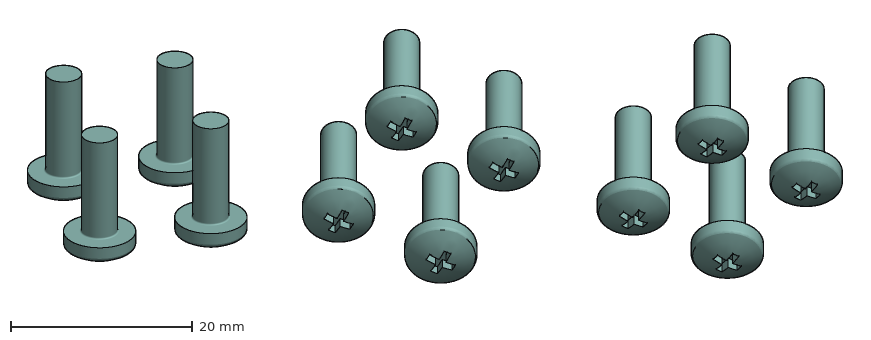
import cadquery as cq

head_diameter = 8.0
overall_length = 23.0
overall_width = 20.72
pitch_x = overall_length - head_diameter
pitch_y = overall_width - head_diameter

shank_diameter = 4.0
shank_length = 12.0
neck_fillet = 0.18

head_height = 2.95
rim_height = 1.6
rim_fillet = 0.41

recess_span = 3.22
recess_width = 0.83
recess_depth = 1.38

head_radius = head_diameter / 2
shank_radius = shank_diameter / 2
dome_rise = head_height - rim_height
dome_radius = (head_radius**2 + dome_rise**2) / (2 * dome_rise)


def circle_at(body, radius, z):
    """Edges of the body that are full circles about Z with the given radius and height."""
    return body.edges("%CIRCLE").filter(
        lambda edge: abs(edge.arcCenter().z - z) < 0.0002 and abs(edge.radius() - radius) < 0.0002
    )


def make_blank():
    """Shank and domed head revolved about Z, with the head's flat face at Z = 0."""
    blank = (
        cq.Workplane("XZ")
        .moveTo(0, shank_length)
        .lineTo(-shank_radius, shank_length)
        .lineTo(-shank_radius, 0)
        .lineTo(-head_radius, 0)
        .lineTo(-head_radius, -rim_height)
        .radiusArc((0, -head_height), -dome_radius)
        .close()
        .revolve(360, (0, 0), (0, 1))
    )
    blank = circle_at(blank, head_radius, -rim_height).fillet(rim_fillet)
    return circle_at(blank, shank_radius, 0).fillet(neck_fillet)


def make_recess():
    """Two crossed bars, reaching up from the tip of the dome."""
    bar = cq.Workplane("XY", origin=(0, 0, -head_height)).box(
        recess_span, recess_width, recess_depth, centered=(True, True, False)
    )
    return bar.union(bar.rotate((0, 0, 0), (0, 0, 1), 90))


def make_screw():
    """One screw on the Z axis."""
    return make_blank().cut(make_recess())


screw = make_screw()
screws = []
for x in (-pitch_x / 2, pitch_x / 2):
    for y in (-pitch_y / 2, pitch_y / 2):
        screws.append(screw.translate((x, y, 0)).val())

result = cq.Compound.makeCompound(screws)